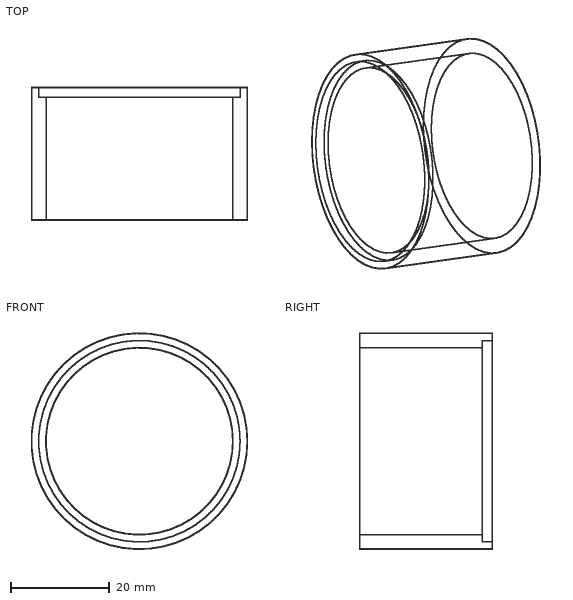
import cadquery as cq

outer_diameter = 44.0
wall_thickness = 3.0
length = 27.0
counterbore_step = 1.5
counterbore_depth = 2.0

outer_radius = outer_diameter / 2
bore_radius = outer_radius - wall_thickness
counterbore_radius = bore_radius + counterbore_step
back_y = length / 2


def cylinder_from_back(radius, depth):
    """Cylinder on the Y axis, running from the +Y end face towards -Y."""
    return cq.Workplane("XZ", origin=(0, back_y, 0)).circle(radius).extrude(depth)


body = cylinder_from_back(outer_radius, length)
bore = cylinder_from_back(bore_radius, length)
counterbore = cylinder_from_back(counterbore_radius, counterbore_depth)

result = body.cut(bore).cut(counterbore)